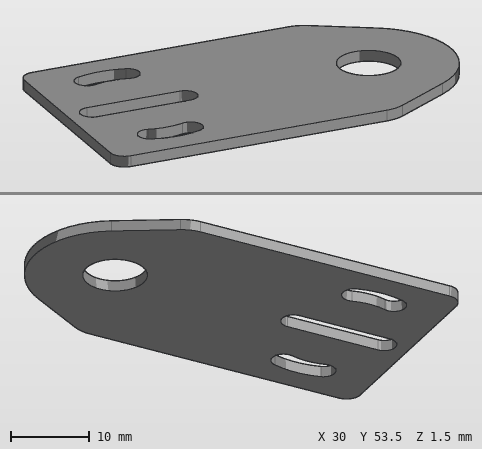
import cadquery as cq
import math

width = 30.0
length = 53.5
thickness = 1.5
bottom_corner_radius = 2.0
shoulder_radius = 5.0

head_radius = 11.5
head_hole_diameter = 8.2
taper_angle = math.radians(30)

slot_width = 3.2
straight_slot_length = 16.2
slot_center_y = 9.95
curved_slot_radius = 10.0
curved_slot_half_angle = math.radians(16.5)

half_width = width / 2
head_center_y = length - head_radius
tangent_x = head_radius * math.cos(taper_angle)
tangent_y = head_center_y + head_radius * math.sin(taper_angle)
shoulder_y = tangent_y - (half_width - tangent_x) / math.tan(taper_angle)


def make_plate():
    plate = (
        cq.Workplane("XY")
        .moveTo(-half_width, 0)
        .lineTo(half_width, 0)
        .lineTo(half_width, shoulder_y)
        .lineTo(tangent_x, tangent_y)
        .threePointArc((0, length), (-tangent_x, tangent_y))
        .lineTo(-half_width, shoulder_y)
        .close()
        .extrude(thickness)
    )

    def edges_at(y):
        margin = 0.05
        box = cq.selectors.BoxSelector(
            (-width, y - margin, -margin), (width, y + margin, thickness + margin)
        )
        return plate.edges("|Z").edges(box)

    plate = edges_at(0).fillet(bottom_corner_radius)
    return edges_at(shoulder_y).fillet(shoulder_radius)


def make_curved_slot(side):
    """Slot along an arc about the slot centre; side is -1 or 1 along X."""

    def point(radius, angle):
        return (side * radius * math.cos(angle), slot_center_y + radius * math.sin(angle))

    inner = curved_slot_radius - slot_width / 2
    outer = curved_slot_radius + slot_width / 2
    end = curved_slot_half_angle

    def cap_point(direction):
        """Tip of the rounded end, half a slot width past its centre."""
        x, y = point(curved_slot_radius, direction * end)
        reach = slot_width / 2
        return (x - side * reach * math.sin(end), y + direction * reach * math.cos(end))

    return (
        cq.Workplane("XY")
        .moveTo(*point(outer, -end))
        .threePointArc(point(outer, 0), point(outer, end))
        .threePointArc(cap_point(1), point(inner, end))
        .threePointArc(point(inner, 0), point(inner, -end))
        .threePointArc(cap_point(-1), point(outer, -end))
        .close()
        .extrude(thickness)
    )


head_hole = (
    cq.Workplane("XY")
    .center(0, head_center_y)
    .circle(head_hole_diameter / 2)
    .extrude(thickness)
)
straight_slot = (
    cq.Workplane("XY")
    .center(0, slot_center_y)
    .slot2D(straight_slot_length, slot_width, 90)
    .extrude(thickness)
)

result = make_plate().cut(head_hole).cut(straight_slot)
for slot_side in (-1, 1):
    result = result.cut(make_curved_slot(slot_side))